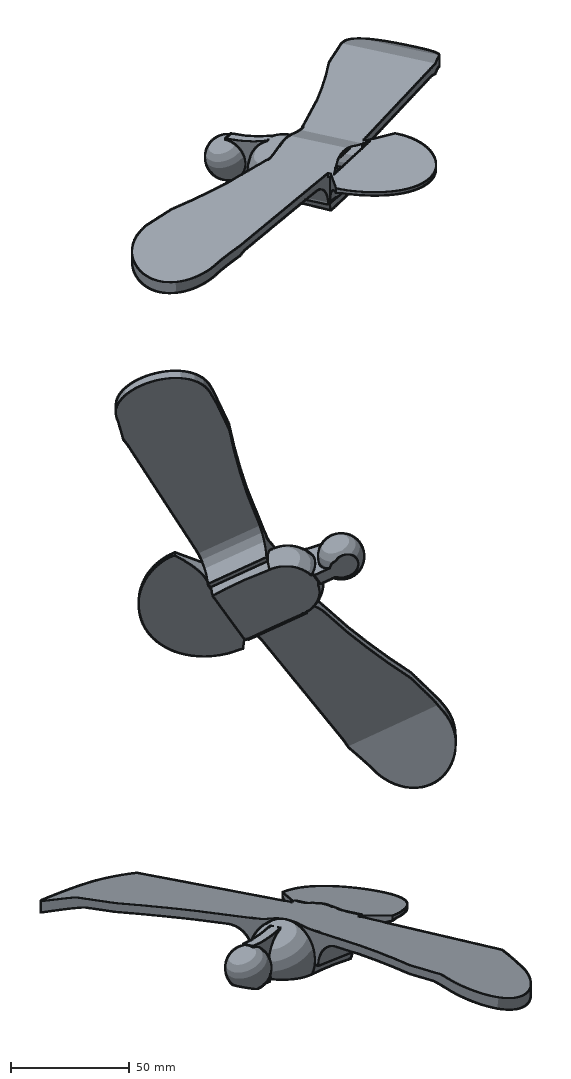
import cadquery as cq
import math


body_radius = 15.3
body_axis_z = -12.8
body_length = 27.8
nose_x = -1.0
saddle_top_z = body_axis_z + body_radius

head_radius = 9.9
head_x = -27.0
head_z = -12.3
neck_width = 5.5
neck_top_z = -2.2
neck_end_x = -7.5
neck_end_z = 1.0

sole_z = -21.0
chin_front_z = -18.0
sole_rear_x = -15.3
belly_front_z = -20.2
belly_z = -19.5
belly_hollow = 0.5

half_span = 123.2
wing_thickness = 4.0
wing_bend_y = 95.4
wing_droop_radius = 123.2
wing_droop_thickness = 4.7
wing_droop_entry_angle = math.radians(12)
root_y = 15.0
root_fillet_radius = 11.0
root_fillet_y = 17.3
wing_root_rear_x = 29.0
wing_bend_rear_x = 24.5
tip_radius = 20.7
tip_rear_angle = math.radians(13)
tip_front_angle = math.radians(191)
sweep_start = (-6.0, 42.6)
sweep_middle = (-10.8, 60.0)
sweep_end = (-16.8, 77.0)

saddle_half_width = 17.5
crown_half_width = 8.0
saddle_end_x = 31.0
saddle_end_fillet = 4.0

tail_radius = 28.8
tail_end_x = 67.5
tail_centre_x = tail_end_x - tail_radius
tail_root_half_width = 15.0
shoulder_x = 37.5
tail_thickness = 1.7
tail_bend_x = 42.0
tail_bend_angle = 5.3
tail_droop_radius = 177.5
tail_fillet_radius = 12.8
tail_fillet_x = 28.5

clearance = 24.6


def point_on_arc(centre, radius, angle):
    return (centre[0] + radius * math.cos(angle), centre[1] + radius * math.sin(angle))


def drooping_slab(start, bend, end, flat_thickness, droop_thickness, radius, entry_angle):
    """Section of a plate, flat up to the bend and then curving down between two concentric arcs.

    At the bend the curved top already slopes down by the entry angle. The curved underside
    begins where its arc meets the flat underside.
    """
    centre = (bend - radius * math.sin(entry_angle), -radius * math.cos(entry_angle))
    inner_radius = radius - droop_thickness
    outer_start = math.pi / 2 - entry_angle
    outer_end = math.acos((end - centre[0]) / radius)
    inner_start = math.asin(min(1, (-flat_thickness - centre[1]) / inner_radius))
    inner_end = math.acos((end - centre[0]) / inner_radius)
    return (
        cq.Workplane("YZ")
        .moveTo(start, 0)
        .lineTo(bend, 0)
        .threePointArc(
            point_on_arc(centre, radius, (outer_start + outer_end) / 2),
            point_on_arc(centre, radius, outer_end),
        )
        .lineTo(*point_on_arc(centre, inner_radius, inner_end))
        .threePointArc(
            point_on_arc(centre, inner_radius, (inner_start + inner_end) / 2),
            point_on_arc(centre, inner_radius, inner_start),
        )
        .lineTo(start, -flat_thickness)
        .close()
    )


def under_fillet(plane, start, wall, thickness, radius):
    """Section of a root block whose outer wall flares out to a plate in a concave quarter circle.

    The block reaches up to the middle of the plate thickness.
    """
    top = -thickness / 2
    bottom = -thickness - radius
    centre = (wall + radius, bottom)
    return (
        cq.Workplane(plane)
        .moveTo(start, top)
        .lineTo(wall + radius, top)
        .lineTo(wall + radius, -thickness)
        .threePointArc(point_on_arc(centre, radius, math.radians(135)), (wall, bottom))
        .lineTo(start, bottom)
        .close()
    )


def make_body():
    barrel = cq.Workplane("YZ").center(0, body_axis_z).circle(body_radius).extrude(body_length)
    nose = cq.Workplane("XY").sphere(body_radius).translate((nose_x, 0, body_axis_z))
    front_half = cq.Workplane("YZ").center(0, body_axis_z).circle(body_radius).extrude(nose_x - body_radius)
    return barrel.union(nose.intersect(front_half))


def make_saddle():
    radius_sum = (saddle_half_width**2 + saddle_top_z**2) / (2 * saddle_top_z)
    crown_radius = radius_sum * crown_half_width / saddle_half_width
    flank_radius = radius_sum - crown_radius
    join_angle = math.asin(saddle_half_width / radius_sum)
    crown_centre = (0, saddle_top_z - crown_radius)
    crown_end = point_on_arc(crown_centre, crown_radius, math.pi / 2 - join_angle)
    flank_centre = (saddle_half_width, flank_radius)
    flank_middle = point_on_arc(flank_centre, flank_radius, -math.pi / 2 - join_angle / 2)

    saddle = (
        cq.Workplane("YZ")
        .moveTo(-saddle_half_width, 0)
        .threePointArc((-flank_middle[0], flank_middle[1]), (-crown_end[0], crown_end[1]))
        .threePointArc((0, saddle_top_z), crown_end)
        .threePointArc(flank_middle, (saddle_half_width, 0))
        .lineTo(saddle_half_width, -tail_thickness)
        .lineTo(-saddle_half_width, -tail_thickness)
        .close()
        .extrude(saddle_end_x)
    )
    end_fillet = (
        cq.Workplane("XZ")
        .center(saddle_end_x, saddle_end_fillet)
        .circle(saddle_end_fillet)
        .extrude(saddle_half_width, both=True)
    )
    return saddle.cut(end_fillet)


def make_wing():
    tip_centre = (0, half_span - tip_radius)
    outline = (
        cq.Workplane("XY")
        .moveTo(0, 0)
        .lineTo(0, root_y)
        .lineTo(*sweep_start)
        .threePointArc(sweep_middle, sweep_end)
        .lineTo(*point_on_arc(tip_centre, tip_radius, tip_front_angle))
        .threePointArc((0, half_span), point_on_arc(tip_centre, tip_radius, tip_rear_angle))
        .lineTo(wing_bend_rear_x, wing_bend_y)
        .lineTo(wing_root_rear_x, 0)
        .close()
        .extrude(2 * clearance, both=True)
    )
    slab = drooping_slab(
        start=0,
        bend=wing_bend_y,
        end=half_span,
        flat_thickness=wing_thickness,
        droop_thickness=wing_droop_thickness,
        radius=wing_droop_radius,
        entry_angle=wing_droop_entry_angle,
    )
    root = under_fillet("YZ", 0, root_fillet_y, wing_thickness, root_fillet_radius)
    section = slab.extrude(2 * clearance, both=True).union(root.extrude(2 * clearance, both=True))
    return section.intersect(outline)


def make_tail():
    shoulder_half_width = math.sqrt(tail_radius**2 - (shoulder_x - tail_centre_x) ** 2)
    outline = (
        cq.Workplane("XY")
        .moveTo(body_length, -tail_root_half_width)
        .lineTo(shoulder_x, -shoulder_half_width)
        .threePointArc((tail_end_x, 0), (shoulder_x, shoulder_half_width))
        .lineTo(body_length, tail_root_half_width)
        .close()
        .extrude(clearance, both=True)
    )
    plate = drooping_slab(
        start=-clearance,
        bend=0,
        end=tail_radius,
        flat_thickness=tail_thickness,
        droop_thickness=tail_thickness,
        radius=tail_droop_radius,
        entry_angle=0,
    )
    slab = (
        plate.extrude(2 * tail_radius, both=True)
        .rotate((0, 0, 0), (0, 0, 1), tail_bend_angle - 90)
        .translate((tail_bend_x, 0, 0))
    )
    root = under_fillet("XZ", 0, tail_fillet_x, tail_thickness, tail_fillet_radius)
    return slab.union(root.extrude(tail_radius, both=True)).intersect(outline)


def make_neck():
    run = neck_end_x - head_x
    rise = neck_end_z - neck_top_z
    rise_radius = (run**2 + rise**2) / (2 * rise)
    half_turn = math.asin(run / rise_radius) / 2
    rise_middle = point_on_arc((head_x, neck_top_z + rise_radius), rise_radius, half_turn - math.pi / 2)
    return (
        cq.Workplane("XZ")
        .moveTo(head_x, sole_z)
        .lineTo(head_x, neck_top_z)
        .threePointArc(rise_middle, (neck_end_x, neck_end_z))
        .lineTo(neck_end_x, sole_z)
        .close()
        .extrude(neck_width / 2, both=True)
    )


def make_underside_cutter():
    floor_z = sole_z - clearance
    return (
        cq.Workplane("XZ")
        .moveTo(head_x - head_radius, floor_z)
        .lineTo(head_x - head_radius, chin_front_z)
        .lineTo(head_x, sole_z)
        .lineTo(sole_rear_x, sole_z)
        .lineTo(sole_rear_x, belly_front_z)
        .lineTo(0, belly_z)
        .threePointArc((body_length / 2, belly_z + belly_hollow), (body_length, belly_z))
        .lineTo(body_length, floor_z)
        .close()
        .extrude(clearance, both=True)
    )


head = cq.Workplane("XY").sphere(head_radius).translate((head_x, 0, head_z))
wing = make_wing()

result = (
    make_body()
    .union(make_saddle())
    .union(wing)
    .union(wing.mirror("XZ"))
    .union(make_tail())
    .union(make_neck())
    .union(head)
    .cut(make_underside_cutter())
)